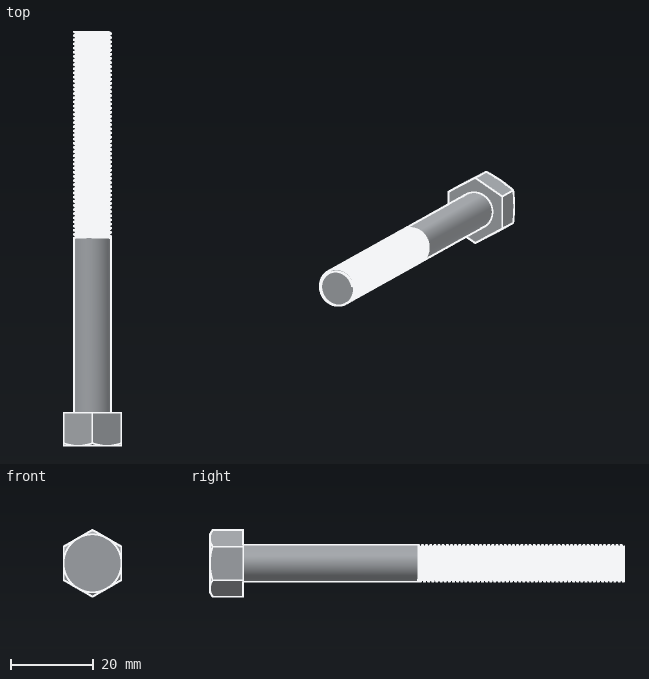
import cadquery as cq
import math

head_sides = 6
half_side_angle = 180.0 / head_sides
across_flats = 14.0
head_height = 8.0
head_chamfer_angle = 30.0

shank_diameter = 9.0
overall_length = 100.0

thread_length = 49.75
thread_pitch = 1.0
sharp_thread_height = thread_pitch * math.sqrt(3) / 2
thread_depth = 5 / 8 * sharp_thread_height
groove_mouth = 7 / 8 * thread_pitch
groove_root = thread_pitch / 4
groove_start_angle = 67.5
groove_overshoot = 0.02

shank_radius = shank_diameter / 2
across_corners = across_flats / math.cos(math.radians(half_side_angle))
chamfer_radial = (across_corners - across_flats) / 2
chamfer_axial = chamfer_radial * math.tan(math.radians(head_chamfer_angle))
shank_length = overall_length - head_height
thread_start = shank_length - thread_length


def make_head():
    """Hexagon along Z with its outer (-Z) corners trimmed by a cone."""
    hexagon = (
        cq.Workplane("XY")
        .workplane(offset=-head_height)
        .polygon(head_sides, across_corners)
        .extrude(head_height)
        .rotate((0, 0, 0), (0, 0, 1), half_side_angle)
    )
    trim = (
        cq.Workplane("XZ")
        .moveTo(0, -head_height)
        .lineTo(across_flats / 2, -head_height)
        .lineTo(across_corners / 2, -head_height + chamfer_axial)
        .lineTo(across_corners / 2, 0)
        .lineTo(0, 0)
        .close()
        .revolve(360, (0, 0, 0), (0, 1, 0))
    )
    return hexagon.intersect(trim)


def make_groove_turn(profile, bottom):
    """Faces of one turn of a helical groove with the given (radius, height) corners."""
    helices = [
        cq.Wire.makeHelix(thread_pitch, thread_pitch, radius, cq.Vector(0, 0, bottom + height))
        for radius, height in profile
    ]
    return [
        cq.Face.makeRuledSurface(helices[i - 1], helices[i])
        for i in range(len(helices))
    ]


def make_groove_end(profile, bottom):
    """Flat face that closes the groove at one end."""
    corners = [cq.Vector(radius, 0, bottom + height) for radius, height in profile]
    return cq.Face.makeFromWires(cq.Wire.makePolygon(corners, close=True))


def make_thread_groove():
    """Helical groove of trapezoid section, running past both ends of the threaded length."""
    outer_radius = shank_radius + groove_overshoot
    flank_slope = (groove_mouth - groove_root) / 2 / thread_depth
    half_outer_mouth = groove_mouth / 2 + flank_slope * groove_overshoot
    root_radius = shank_radius - thread_depth
    profile = [
        (root_radius, groove_root / 2),
        (root_radius, -groove_root / 2),
        (outer_radius, -half_outer_mouth),
        (outer_radius, half_outer_mouth),
    ]
    spare_turns = 1
    turns = math.ceil(thread_length / thread_pitch) + 2 * spare_turns
    bottom = thread_start - spare_turns * thread_pitch
    top = bottom + turns * thread_pitch

    faces = [make_groove_end(profile, bottom), make_groove_end(profile, top)]
    for turn in range(turns):
        faces.extend(make_groove_turn(profile, bottom + turn * thread_pitch))
    groove = cq.Solid.makeSolid(cq.Shell.makeShell(faces)).fix()
    return cq.Workplane(groove).rotate((0, 0, 0), (0, 0, 1), groove_start_angle)


def make_shank():
    """Round shank along Z: a plain length, then a threaded length ending in a flat face."""
    plain = cq.Workplane("XY").circle(shank_radius).extrude(thread_start)
    threaded = (
        cq.Workplane("XY")
        .workplane(offset=thread_start)
        .circle(shank_radius)
        .extrude(thread_length)
        .cut(make_thread_groove())
    )
    return plain.union(threaded)


bolt = make_head().union(make_shank())
result = bolt.rotate((0, 0, 0), (1, 0, 0), -90)